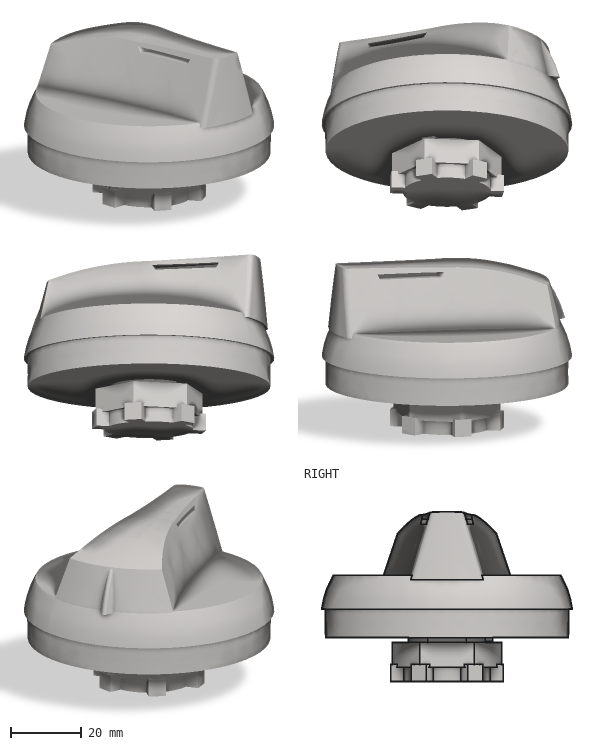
import cadquery as cq
import math


BEZEL_HEIGHT = 8.1
BEZEL_TOP_RADIUS = 34.6
BEZEL_BOTTOM_RADIUS = 34.45
KEY_WIDTH = 4.0
KEY_DROP = 1.1
KEY_REACH = 13.0

STACK_DEPTH = 12.47
BUSHING_RADIUS = 11.0
BUSHING_ACROSS_FLATS = 19.1
NUT_SIDES = 6
NUT_ACROSS_FLATS = 27.0
NUT_TOP = -1.3
NUT_BOTTOM = -8.4
CROWN_HUB_RADIUS = 12.5
LUG_COUNT = 6
LUG_WIDTH = 5.0
LUG_REACH = 16.0
LUG_TOP = -7.55

SKIRT_BOTTOM_RADIUS = 35.55
SKIRT_TOP_RADIUS = 32.2
SKIRT_TOP = 17.77
SKIRT_BULGE = 0.55

GRIP_BOTTOM = 16.5
GRIP_OVERALL_TOP = 35.77
GRIP_BLANK_TOP = 37.77
WALL_DRAFT = 16.5
WALL_SPAN = 42.0
FRONT_HALF_WIDTH = 23.13
MIDDLE_HALF_WIDTH = 12.7
REAR_HALF_WIDTH = 10.46
FRONT_RIM_RADIUS = 29.13
FRONT_RIM_HEIGHT = 29.55
FRONT_CONE_ANGLE = 15.0
REAR_BOTTOM_RADIUS = 33.7
REAR_TOP_RADIUS = 32.1
REAR_CORNER_FILLET = 1.5
CORNER_SEARCH = 4.0
DOME_HEIGHT = 35.2
RIM_DROP = DOME_HEIGHT - FRONT_RIM_HEIGHT
DOME_RADIUS = (FRONT_RIM_RADIUS**2 + RIM_DROP**2) / (2 * RIM_DROP)

LATCH_FRONT = 1.8
LATCH_REAR = 22.8
LATCH_UNDERSIDE = 33.65
SLOT_FLOOR = 32.2
SLOT_FLOOR_FRONT = 4.0
SLOT_FLOOR_REAR = 21.6
STEM_FRONT = -13.75
STEM_WIDTH = 5.0

POINTER_TIP_RADIUS = 35.0
POINTER_BOTTOM = 17.15
POINTER_TOP = 29.1
POINTER_TOP_RADIUS = 29.3
POINTER_ARC_RADIUS = 38.0
POINTER_NOSE_RADIUS = 0.76
POINTER_HALF_ANGLE = 33.0
POINTER_DEPTH = 4.0
POINTER_SWEEP = 45.0


def make_bezel():
    profile = [(0, 0), (BEZEL_BOTTOM_RADIUS, 0), (BEZEL_TOP_RADIUS, BEZEL_HEIGHT), (0, BEZEL_HEIGHT)]
    disc = cq.Workplane("XZ").polyline(profile).close().revolve()
    key = cq.Workplane("XY", origin=(0, 0, -KEY_DROP)).box(
        KEY_WIDTH, KEY_REACH, KEY_DROP, centered=(True, False, False)
    )
    return disc.union(key.cut(make_bushing()))


def make_bushing():
    shank = cq.Workplane("XY").circle(BUSHING_RADIUS).extrude(-STACK_DEPTH)
    flats = cq.Workplane("XY").rect(BUSHING_ACROSS_FLATS, BUSHING_RADIUS * 2).extrude(-STACK_DEPTH)
    return shank.intersect(flats)


def make_nut_blank():
    """Hexagonal prism with a corner on the Y axis."""
    half_side_angle = 180 / NUT_SIDES
    across_corners = NUT_ACROSS_FLATS / math.cos(math.radians(half_side_angle))
    return (
        cq.Workplane("XY", origin=(0, 0, NUT_BOTTOM))
        .transformed(rotate=(0, 0, half_side_angle))
        .polygon(NUT_SIDES, across_corners)
        .extrude(NUT_TOP - NUT_BOTTOM)
    )


def make_crown():
    """Hub ring with square lugs that reach up around the corners of the nut."""
    crown = (
        cq.Workplane("XY", origin=(0, 0, -STACK_DEPTH))
        .circle(CROWN_HUB_RADIUS)
        .extrude(NUT_BOTTOM + STACK_DEPTH)
    )
    lug = cq.Workplane("XY", origin=(0, 0, -STACK_DEPTH)).box(
        LUG_WIDTH, LUG_REACH, LUG_TOP + STACK_DEPTH, centered=(True, False, False)
    )
    for index in range(LUG_COUNT):
        crown = crown.union(lug.rotate((0, 0, 0), (0, 0, 1), index * 360 / LUG_COUNT))
    return crown.cut(make_nut_blank()).cut(make_bushing())


def make_skirt():
    middle = (
        (SKIRT_BOTTOM_RADIUS + SKIRT_TOP_RADIUS) / 2 + SKIRT_BULGE,
        (BEZEL_HEIGHT + SKIRT_TOP) / 2,
    )
    return (
        cq.Workplane("XZ")
        .moveTo(0, BEZEL_HEIGHT)
        .lineTo(SKIRT_BOTTOM_RADIUS, BEZEL_HEIGHT)
        .threePointArc(middle, (SKIRT_TOP_RADIUS, SKIRT_TOP))
        .lineTo(0, SKIRT_TOP)
        .close()
        .revolve()
    )


def make_walls():
    return (
        cq.Workplane("XY", origin=(0, 0, GRIP_BOTTOM))
        .moveTo(-WALL_SPAN, -FRONT_HALF_WIDTH)
        .threePointArc((0, -MIDDLE_HALF_WIDTH), (WALL_SPAN, -REAR_HALF_WIDTH))
        .lineTo(WALL_SPAN, REAR_HALF_WIDTH)
        .threePointArc((0, MIDDLE_HALF_WIDTH), (-WALL_SPAN, FRONT_HALF_WIDTH))
        .close()
        .extrude(GRIP_BLANK_TOP - GRIP_BOTTOM, taper=WALL_DRAFT)
    )


def make_front_form():
    """Cone ahead of the latch, with a spherical dome that meets its rim."""
    bottom_radius = FRONT_RIM_RADIUS + (FRONT_RIM_HEIGHT - GRIP_BOTTOM) * math.tan(
        math.radians(FRONT_CONE_ANGLE)
    )
    domed_cone = (
        cq.Workplane("XZ")
        .moveTo(0, GRIP_BOTTOM)
        .lineTo(bottom_radius, GRIP_BOTTOM)
        .lineTo(FRONT_RIM_RADIUS, FRONT_RIM_HEIGHT)
        .radiusArc((0, DOME_HEIGHT), -DOME_RADIUS)
        .close()
        .revolve()
    )
    size = 2 * WALL_SPAN
    ahead_of_latch = cq.Workplane("XY", origin=(LATCH_FRONT - size, 0, 0)).box(
        size, size, size, centered=(False, True, False)
    )
    return domed_cone.intersect(ahead_of_latch)


def make_rear_form():
    """Steep cone under the dome's arch at the latch front, carried back with a slight rise."""
    cone = (
        cq.Workplane("XZ")
        .polyline([
            (0, GRIP_BOTTOM),
            (REAR_BOTTOM_RADIUS, GRIP_BOTTOM),
            (REAR_TOP_RADIUS, GRIP_OVERALL_TOP),
            (0, GRIP_OVERALL_TOP),
        ])
        .close()
        .revolve()
    )
    arch_top = DOME_HEIGHT - DOME_RADIUS + math.sqrt(DOME_RADIUS**2 - LATCH_FRONT**2)
    arch_half_width = math.sqrt(FRONT_RIM_RADIUS**2 - LATCH_FRONT**2)
    arch = (
        cq.Workplane("YZ", origin=(LATCH_FRONT, 0, 0))
        .moveTo(-arch_half_width, 0)
        .lineTo(-arch_half_width, FRONT_RIM_HEIGHT)
        .threePointArc((0, arch_top), (arch_half_width, FRONT_RIM_HEIGHT))
        .lineTo(arch_half_width, 0)
        .close()
    )
    run = REAR_TOP_RADIUS - LATCH_FRONT
    sweep = cq.Vector(run, 0, GRIP_OVERALL_TOP - arch_top) * (WALL_SPAN / run)
    vault = cq.Solid.extrudeLinear(arch.val(), [], sweep)
    return cone.intersect(cq.Workplane(vault))


def make_grip_blank():
    walls = make_walls()
    front = walls.intersect(make_front_form())
    rear = walls.intersect(make_rear_form())
    middle_height = (GRIP_BOTTOM + GRIP_OVERALL_TOP) / 2
    rear_corners = cq.selectors.BoxSelector(
        (REAR_TOP_RADIUS - CORNER_SEARCH, -WALL_SPAN, middle_height - CORNER_SEARCH),
        (REAR_TOP_RADIUS + CORNER_SEARCH, WALL_SPAN, middle_height + CORNER_SEARCH),
    )
    rear = rear.edges(rear_corners).fillet(REAR_CORNER_FILLET)
    return front.union(rear)


def make_pointer():
    chord_x = POINTER_TIP_RADIUS - POINTER_TOP_RADIUS
    chord_z = POINTER_TOP - POINTER_BOTTOM
    chord = math.hypot(chord_x, chord_z)
    setback = math.sqrt(POINTER_ARC_RADIUS**2 - (chord / 2) ** 2)
    centre_x = -(POINTER_TIP_RADIUS + POINTER_TOP_RADIUS) / 2 + setback * chord_z / chord
    centre_z = (POINTER_BOTTOM + POINTER_TOP) / 2 - setback * chord_x / chord

    angle = math.radians(POINTER_HALF_ANGLE)
    nose_half = POINTER_NOSE_RADIUS * math.cos(angle)
    nose_depth = POINTER_NOSE_RADIUS * (1 - math.sin(angle))
    root_half = nose_half + (POINTER_DEPTH - nose_depth) * math.tan(angle)
    nose_x = -POINTER_ARC_RADIUS + nose_depth
    root_x = -POINTER_ARC_RADIUS + POINTER_DEPTH
    wedge = (
        cq.Workplane("XY", origin=(centre_x, 0, centre_z))
        .moveTo(root_x, -root_half)
        .lineTo(nose_x, -nose_half)
        .threePointArc((-POINTER_ARC_RADIUS, 0), (nose_x, nose_half))
        .lineTo(root_x, root_half)
        .close()
        .revolve(POINTER_SWEEP, (0, 0, 0), (0, 1, 0))
    )
    limits = cq.Workplane("XY", origin=(-POINTER_TIP_RADIUS, 0, POINTER_BOTTOM)).box(
        POINTER_TIP_RADIUS, 2 * root_half, chord_z, centered=(True, True, False)
    )
    return wedge.intersect(limits)


def make_slot():
    """Trapezoid cut right across the grip, and a straight channel ahead of it for the stem."""
    front_slope = (SLOT_FLOOR_FRONT - LATCH_FRONT) / (DOME_HEIGHT - SLOT_FLOOR)
    rear_slope = (LATCH_REAR - SLOT_FLOOR_REAR) / (DOME_HEIGHT - SLOT_FLOOR)
    cut_height = GRIP_BLANK_TOP - SLOT_FLOOR
    across = (
        cq.Workplane("XZ")
        .polyline([
            (SLOT_FLOOR_FRONT, SLOT_FLOOR),
            (SLOT_FLOOR_REAR, SLOT_FLOOR),
            (SLOT_FLOOR_REAR + rear_slope * cut_height, GRIP_BLANK_TOP),
            (SLOT_FLOOR_FRONT - front_slope * cut_height, GRIP_BLANK_TOP),
        ])
        .close()
        .extrude(WALL_SPAN, both=True)
    )
    channel = cq.Workplane("XY", origin=(STEM_FRONT, 0, SLOT_FLOOR)).box(
        SLOT_FLOOR_FRONT - STEM_FRONT, STEM_WIDTH, cut_height, centered=(False, True, False)
    )
    return across.union(channel)


def make_latch(grip_blank, slot):
    size = 2 * WALL_SPAN
    slab_zone = cq.Workplane("XY", origin=(0, 0, LATCH_UNDERSIDE)).box(
        size, size, size, centered=(True, True, False)
    )
    stem_zone = cq.Workplane("XY").box(size, STEM_WIDTH, size * 2)
    return grip_blank.intersect(slot).intersect(slab_zone.union(stem_zone))


grip_blank = make_grip_blank()
slot = make_slot()

bezel = make_bezel()
bushing = make_bushing()
nut = make_nut_blank().cut(bushing)
crown = make_crown()
latch = make_latch(grip_blank, slot)
knob = make_skirt().union(grip_blank.cut(slot)).union(make_pointer())

result = cq.Compound.makeCompound([
    knob.val(),
    latch.val(),
    bezel.val(),
    bushing.val(),
    nut.val(),
    crown.val(),
])